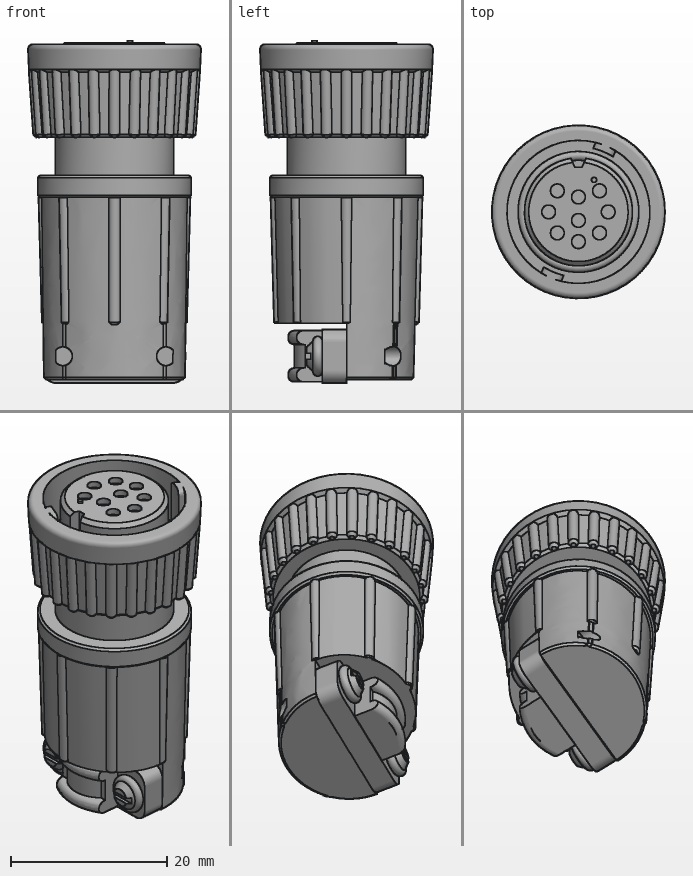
import cadquery as cq
import math


ring_bottom_z = 31.5
ring_band_z = 40.2
ring_edge_z = 42.75
ring_top_z = 43.45
ring_radius = 11.11
ring_band_radius = 11.0
ring_top_radius = 10.4
ring_bottom_radius = 10.4
ring_bore_radius = 9.16
ring_floor_z = 36.5
ring_bottom_chamfer = 0.4

grip_count = 24
grip_radius = 0.7
grip_height = 0.6
grip_bevel = 0.35

tab_inner_radius = 8.35
tab_start_angle = 57.8
tab_end_angle = 77.0
tab_corner = 0.75

insert_radius = 6.92
insert_face_radius = 6.37
insert_chamfer_height = 0.55
insert_top_z = 43.6
bead_inner_radius = 6.6
bead_outer_radius = 7.75

contact_radius = 0.88
contact_depth = 0.85
contact_circle_radius = 3.82
contact_pitch_angle = 45
inner_contact_ys = (1.9, -1.1)

key_inner_y = 5.7
key_inner_width = 0.9
key_outer_width = 2.0

marker_x, marker_y = 2.0, 4.1
marker_radius = 0.33
total_height = 43.9

neck_radius = 7.62
collar_top_z = 26.65
collar_bottom_z = 23.8
collar_radius = 9.85
collar_chamfer = 0.3

shell_bottom_z = 0.45
shell_top_radii = (9.35, 9.2)
shell_bottom_radii = (9.05, 8.6)
shell_chamfer = 0.3
clamp_opening_z = 7.65

shell_rib_count = 8
shell_rib_radius = 0.75
shell_rib_bottom_z = 7.5
shell_rib_top_reach = 9.75
shell_rib_bottom_reach = 9.3
shell_rib_nose = 0.35

seam_x = 6.45
seam_width = 0.4
seam_height = 0.1

screw_x = 6.6
screw_hole_radius = 1.2
screw_hole_floor_y = -4.9

clamp_height = 6.9
clamp_z = clamp_height / 2
clamp_half_width = 9.05
clamp_thickness = 3.1
clamp_corner = 1.6

screw_head_radius = 2.55
screw_head_shoulder = 1.2
screw_head_height = 2.0
screw_top_radius = 1.2
screw_slot_width = 0.8
screw_slot_depth = 0.5

saddle_height = 6.6
saddle_half_width = 4.0
saddle_side_y = 6.4
saddle_top_y = 7.5
rail_height = 1.8
rail_rounding = 0.85
web_half_width = 3.2
web_side_y = 5.3
web_top_y = 6.7


def tilted_rib(bottom_z, bottom_center, top_z, top_center, radius):
    """Round rod on the -Y side, leaning outward from bottom to top."""
    start = cq.Vector(0, -bottom_center, bottom_z)
    axis = cq.Vector(0, -top_center, top_z) - start
    return cq.Workplane(cq.Plane(start, (1, 0, 0), axis)).circle(radius).extrude(axis.Length)


def add_around(body, feature, count):
    for index in range(count):
        body = body.union(feature.rotate((0, 0, 0), (0, 0, 1), index * 360 / count))
    return body


def make_ring():
    wall_top = ring_band_radius - grip_height
    wall_bottom = ring_bottom_radius - grip_height
    corner = math.sqrt(0.5)
    arc_x = ring_top_radius + (ring_radius - ring_top_radius) * corner
    arc_z = ring_edge_z + (ring_top_z - ring_edge_z) * corner
    ring = (
        cq.Workplane("XZ")
        .moveTo(0, ring_bottom_z)
        .lineTo(wall_bottom - ring_bottom_chamfer, ring_bottom_z)
        .lineTo(wall_bottom, ring_bottom_z + ring_bottom_chamfer)
        .lineTo(wall_top, ring_band_z - grip_bevel)
        .lineTo(ring_band_radius, ring_band_z)
        .lineTo(ring_radius, ring_edge_z)
        .threePointArc((arc_x, arc_z), (ring_top_radius, ring_top_z))
        .lineTo(ring_bore_radius, ring_top_z)
        .lineTo(ring_bore_radius, ring_floor_z)
        .lineTo(0, ring_floor_z)
        .close()
        .revolve(360, (0, 0, 0), (0, 1, 0))
    )
    rib = tilted_rib(
        ring_bottom_z, ring_bottom_radius - grip_radius,
        ring_band_z, ring_band_radius - grip_radius, grip_radius,
    ).faces("<Z").chamfer(ring_bottom_chamfer)
    ring = add_around(ring, rib, grip_count)
    for turn in (0, 180):
        ring = ring.union(make_tab().rotate((0, 0, 0), (0, 0, 1), turn))
    return ring


def make_tab():
    """Guide tab inside the ring bore, with its two upper corners rounded."""
    middle_angle = (tab_start_angle + tab_end_angle) / 2
    half_angle = math.radians(tab_end_angle - tab_start_angle) / 2
    half_width = tab_inner_radius * math.sin(half_angle)
    root_radius = (ring_bore_radius + ring_top_radius) / 2
    block = (
        cq.Workplane("XY", origin=(0, 0, ring_floor_z))
        .center(root_radius / 2, 0)
        .rect(root_radius, 2 * half_width)
        .extrude(ring_top_z - ring_floor_z)
        .edges("|X and >Z")
        .fillet(tab_corner)
    )
    clearance = cq.Workplane("XY", origin=(0, 0, ring_floor_z)).circle(tab_inner_radius).extrude(ring_top_z)
    return block.cut(clearance).rotate((0, 0, 0), (0, 0, 1), middle_angle)


def make_insert():
    side_top_z = insert_top_z - insert_chamfer_height
    insert = (
        cq.Workplane("XZ")
        .moveTo(0, ring_floor_z)
        .lineTo(insert_radius, ring_floor_z)
        .lineTo(insert_radius, side_top_z)
        .lineTo(insert_face_radius, insert_top_z)
        .lineTo(0, insert_top_z)
        .close()
        .revolve(360, (0, 0, 0), (0, 1, 0))
    )
    face = cq.Workplane("XY", origin=(0, 0, insert_top_z))
    contacts = [(0, y) for y in inner_contact_ys]
    for step in range(1, 360 // contact_pitch_angle):
        angle = math.radians(90 + step * contact_pitch_angle)
        contacts.append((contact_circle_radius * math.cos(angle), contact_circle_radius * math.sin(angle)))
    insert = insert.cut(face.pushPoints(contacts).circle(contact_radius).extrude(-contact_depth))
    keyway = (
        face.moveTo(-key_inner_width / 2, key_inner_y)
        .lineTo(key_inner_width / 2, key_inner_y)
        .lineTo(key_outer_width / 2, insert_radius)
        .lineTo(-key_outer_width / 2, insert_radius)
        .close()
        .extrude(ring_floor_z - insert_top_z)
    )
    marker = face.center(marker_x, marker_y).circle(marker_radius).extrude(total_height - insert_top_z)
    return insert.cut(keyway).union(marker).union(make_bead())


def make_bead():
    bead_radius = (bead_outer_radius - bead_inner_radius) / 2
    bead_center = (bead_outer_radius + bead_inner_radius) / 2
    return (
        cq.Workplane("XZ")
        .center(bead_center, ring_floor_z)
        .circle(bead_radius)
        .revolve(360, (-bead_center, 0, 0), (-bead_center, 1, 0))
    )


def make_neck_and_collar():
    neck = cq.Workplane("XY", origin=(0, 0, collar_bottom_z)).circle(neck_radius)
    neck = neck.extrude(ring_floor_z - collar_bottom_z)
    collar = cq.Workplane("XY", origin=(0, 0, collar_bottom_z)).circle(collar_radius)
    collar = collar.extrude(collar_top_z - collar_bottom_z).faces("|Z").edges().chamfer(collar_chamfer)
    return neck.union(collar)


def shell_body(growth=0):
    """Tapered elliptical backshell body, enlarged all round by the growth."""
    bottom_radii = [radius + growth for radius in shell_bottom_radii]
    top_radii = [radius + growth for radius in shell_top_radii]
    return (
        cq.Workplane("XY", origin=(0, 0, shell_bottom_z))
        .ellipse(*bottom_radii)
        .workplane(offset=collar_bottom_z - shell_bottom_z)
        .ellipse(*top_radii)
        .loft()
        .faces("<Z")
        .chamfer(shell_chamfer)
    )


def make_shell():
    shell = shell_body()
    rib = tilted_rib(
        shell_rib_bottom_z, shell_rib_bottom_reach - shell_rib_radius,
        collar_bottom_z, shell_rib_top_reach - shell_rib_radius, shell_rib_radius,
    ).faces("<Z").chamfer(shell_rib_nose)
    shell = add_around(shell, rib, shell_rib_count)
    shell = shell.union(make_seams())
    opening = cq.Workplane("XY").rect(4 * collar_radius, 2 * collar_radius).extrude(clamp_opening_z)
    shell = shell.cut(opening.translate((0, collar_radius, 0)))
    holes = (
        cq.Workplane("XZ", origin=(0, screw_hole_floor_y, 0))
        .pushPoints([(-screw_x, clamp_z), (screw_x, clamp_z)])
        .circle(screw_hole_radius)
        .extrude(collar_radius)
    )
    return shell.cut(holes)


def make_seams():
    """Thin raised strips running down from the two front diagonal ribs."""
    strips = (
        cq.Workplane("XY", origin=(0, -collar_radius / 2, shell_bottom_z))
        .pushPoints([(-seam_x, 0), (seam_x, 0)])
        .rect(seam_width, collar_radius)
        .extrude(clamp_opening_z - shell_bottom_z)
    )
    return shell_body(seam_height).intersect(strips)


def make_screw_head():
    """Slotted pan head standing on the clamp plate, axis along +Y."""
    rim_round = screw_head_shoulder / 2
    head = (
        cq.Workplane("XY")
        .moveTo(0, 0)
        .lineTo(screw_head_radius - rim_round, 0)
        .threePointArc(
            (screw_head_radius, rim_round), (screw_head_radius - rim_round, screw_head_shoulder)
        )
        .lineTo(screw_top_radius, screw_head_height)
        .lineTo(0, screw_head_height)
        .close()
        .revolve(360, (0, 0, 0), (0, 1, 0))
    )
    slot = cq.Workplane("XY").box(2 * screw_head_radius, 2 * screw_slot_depth, screw_slot_width)
    return head.cut(slot.translate((0, screw_head_height, 0)))


def arch(half_width, side_y, top_y, height):
    """Block on the clamp plate whose +Y face is an arc bulging outward."""
    return (
        cq.Workplane("XY")
        .moveTo(-half_width, 0)
        .lineTo(-half_width, side_y)
        .threePointArc((0, top_y), (half_width, side_y))
        .lineTo(half_width, 0)
        .close()
        .extrude(height / 2, both=True)
        .translate((0, 0, clamp_z))
    )


def make_clamp():
    plate = (
        cq.Workplane("XZ", origin=(0, 0, clamp_z))
        .rect(2 * clamp_half_width, clamp_height)
        .extrude(-clamp_thickness)
        .edges("|Y")
        .fillet(clamp_corner)
    )
    base = cq.Workplane("XY").box(2 * saddle_half_width, web_side_y, saddle_height)
    clamp = plate.union(base.translate((0, web_side_y / 2, clamp_z)))
    clamp = clamp.union(arch(web_half_width, web_side_y, web_top_y, saddle_height))
    rail = arch(saddle_half_width, saddle_side_y, saddle_top_y, rail_height)
    rail = rail.faces(">Y").edges("%CIRCLE").fillet(rail_rounding)
    rail_offset = (saddle_height - rail_height) / 2
    for side in (-1, 1):
        clamp = clamp.union(rail.translate((0, 0, side * rail_offset)))
        head = make_screw_head().translate((side * screw_x, clamp_thickness, clamp_z))
        clamp = clamp.union(head)
    return clamp


result = make_ring()
for piece in (make_insert(), make_neck_and_collar(), make_shell(), make_clamp()):
    result = result.union(piece)